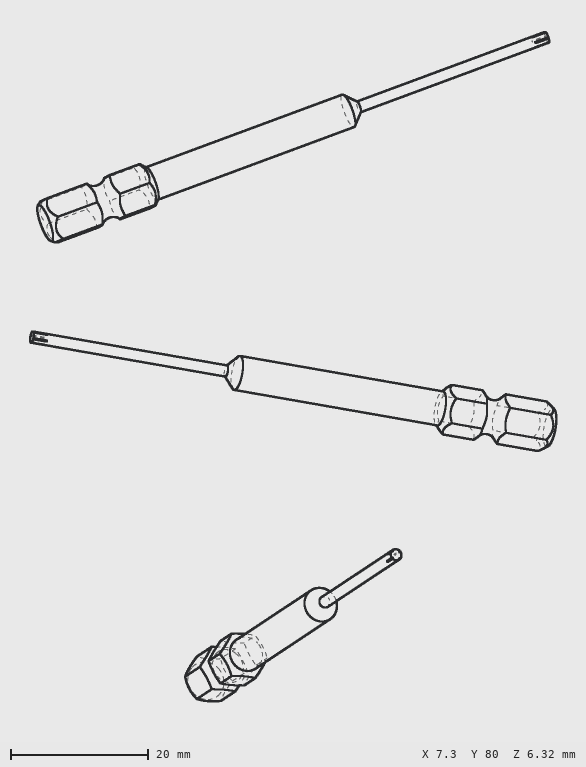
import cadquery as cq
import math

length = 80.0
tail_y = -length / 2
tip_y = length / 2

shank_diameter = 5.0
shank_radius = shank_diameter / 2
blade_diameter = 1.7
blade_radius = blade_diameter / 2
blade_length = 30.0
shoulder_y = tip_y - blade_length

hex_sides = 6
hex_flat_rise = 0.66
hex_length = 17.0
hex_across_flats = 2 * (shank_radius + hex_flat_rise)
hex_corner_radius = hex_across_flats / math.sqrt(3)
hex_front_y = tail_y + hex_length

tail_face_radius = 2.8
tail_bevel_length = 1.2

groove_arc_radius = 2.0
groove_y = tail_y + 9.3

flute_count = 4
flute_width = 0.2
flute_depth = 0.12
flute_length = 2.1


def revolved(profile):
    """Turn a closed (radius, y) profile in the XY plane around the Y axis."""
    return profile.close().revolve(360, (0, 0, 0), (0, 1, 0))


def make_shaft():
    """Shank and blade, joined by a 45 degree shoulder."""
    cone_start_y = shoulder_y - (shank_radius - blade_radius)
    return revolved(
        cq.Workplane("XY")
        .moveTo(0, hex_front_y)
        .lineTo(shank_radius, hex_front_y)
        .lineTo(shank_radius, cone_start_y)
        .lineTo(blade_radius, shoulder_y)
        .lineTo(blade_radius, tip_y)
        .lineTo(0, tip_y)
    )


def make_drive():
    """Hexagonal prism trimmed by a turned profile that gives the end bevels and the groove."""
    corner = hex_corner_radius
    prism = (
        cq.Workplane("XZ", origin=(0, tail_y, 0))
        .polygon(hex_sides, 2 * corner)
        .extrude(-hex_length)
    )
    arc_centre_radius = shank_radius + groove_arc_radius
    groove_half_width = math.sqrt(groove_arc_radius**2 - (arc_centre_radius - corner) ** 2)
    envelope = revolved(
        cq.Workplane("XY")
        .moveTo(0, tail_y)
        .lineTo(tail_face_radius, tail_y)
        .lineTo(corner, tail_y + tail_bevel_length)
        .lineTo(corner, groove_y - groove_half_width)
        .threePointArc((shank_radius, groove_y), (corner, groove_y + groove_half_width))
        .lineTo(corner, hex_front_y - (corner - shank_radius))
        .lineTo(shank_radius, hex_front_y)
        .lineTo(0, hex_front_y)
    )
    return prism.intersect(envelope)


def cut_flutes(body):
    """Cut the straight flutes into the end of the blade."""
    spacing = 360 / flute_count
    cutter = cq.Workplane("XY", origin=(blade_radius, tip_y - flute_length, 0)).box(
        2 * flute_depth, flute_length, flute_width, centered=(True, False, True)
    )
    for index in range(flute_count):
        angle = spacing * (index + 0.5)
        body = body.cut(cutter.rotate((0, 0, 0), (0, 1, 0), angle))
    return body


result = cut_flutes(make_drive().union(make_shaft()))